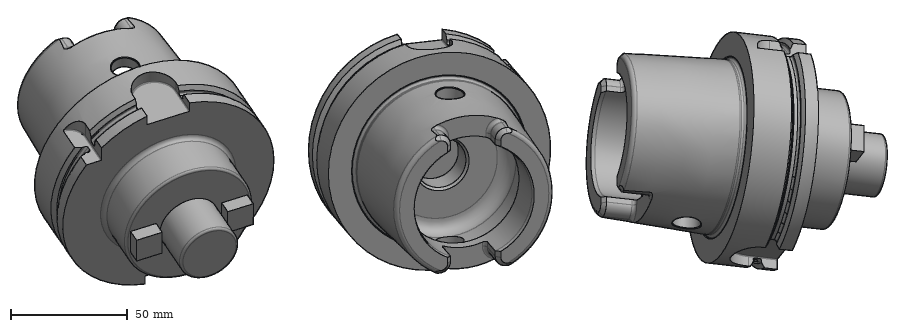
import cadquery as cq
import math

shank_length = 50.0
taper_end_x = 47.4
taper_big_radius = 37.9
taper_ratio = 0.05
shank_tip_radius = taper_big_radius - taper_ratio * taper_end_x
shank_tip_round = 2.0
neck_radius = 37.8
neck_x = 48.2
relief_round = 1.1
relief_start_x = 49.2
relief_rim_radius = 39.6
relief_rim_chamfer = 0.4

flange_radius = 50.0
flange_end_x = 78.9
groove_center_x = 69.9
groove_half_mouth = 3.1
groove_half_width = 1.8
groove_wall_radius = 47.8
groove_floor_radius = 46.0
groove_floor_round = 1.0

collar_radius = 30.0
collar_end_x = 100.0
collar_base_round = 2.0
pilot_radius = 13.7
total_length = 121.0
nose_edge_round = 1.1

bore_radius = 26.5
bore_mouth_radius = 27.0
bore_mouth_depth = 1.7
bore_land_end_x = 20.6
clamp_radius = 31.5
clamp_angle = 60.0
bore_depth = 47.0
bore_floor_round = 6.4
core_hole_radius = 11.3
core_hole_chamfer = 1.1
core_hole_depth = 12.1

drive_half_width = 10.0
drive_corner_round = 4.8
drive_shoulder_z = 31.8
drive_inner_z = 12.1
drive_top_depth = 9.9
drive_bottom_depth = 15.0
drive_floor_round = 1.7
drive_edge_chamfer = 1.9

cross_hole_x = 34.8
cross_hole_radius = 6.0
cross_hole_chamfer = 0.4

keyway_end_x = 54.8
keyway_floor_z = 44.0
top_keyway_half_width = 10.0
bottom_keyway_half_width = 11.0
notch_offset = 31.6
notch_end_x = 55.0
notch_round = 7.5
root_round = 0.4

key_length = 6.2
key_width = 12.1
key_inner_y = 15.5
key_outer_y = 27.6

AXIS_START = (0, 0, 0)
AXIS_END = (1, 0, 0)


def spin(profile):
    """Revolve a closed profile of (x, radius) points about the X axis."""
    return profile.close().revolve(360, AXIS_START, AXIS_END)


def outer_body():
    relief_floor_x = relief_start_x + relief_round
    relief_floor_radius = neck_radius + relief_round
    profile = (
        cq.Workplane("XY")
        .lineTo(0, shank_tip_radius)
        .lineTo(taper_end_x, taper_big_radius)
        .lineTo(neck_x, neck_radius)
        .lineTo(relief_start_x, neck_radius)
        .radiusArc((relief_floor_x, relief_floor_radius), -relief_round)
        .lineTo(relief_floor_x, relief_rim_radius - relief_rim_chamfer)
        .lineTo(shank_length, relief_rim_radius)
        .lineTo(shank_length, flange_radius)
        .lineTo(flange_end_x, flange_radius)
        .lineTo(flange_end_x, collar_radius + collar_base_round)
        .radiusArc((flange_end_x + collar_base_round, collar_radius), -collar_base_round)
        .lineTo(collar_end_x - nose_edge_round, collar_radius)
        .radiusArc((collar_end_x, collar_radius - nose_edge_round), nose_edge_round)
        .lineTo(collar_end_x, pilot_radius)
        .lineTo(total_length - nose_edge_round, pilot_radius)
        .radiusArc((total_length, pilot_radius - nose_edge_round), nose_edge_round)
        .lineTo(total_length, 0)
    )
    return spin(profile).faces("<X").edges().fillet(shank_tip_round)


def gripper_groove():
    floor_half_width = groove_half_width - groove_floor_round
    left = groove_center_x - groove_half_width
    right = groove_center_x + groove_half_width
    rise = groove_floor_radius + groove_floor_round
    clear_radius = flange_radius + 1.2
    profile = (
        cq.Workplane("XY")
        .moveTo(groove_center_x - groove_half_mouth, flange_radius)
        .lineTo(left, groove_wall_radius)
        .lineTo(left, rise)
        .radiusArc((groove_center_x - floor_half_width, groove_floor_radius), -groove_floor_round)
        .lineTo(groove_center_x + floor_half_width, groove_floor_radius)
        .radiusArc((right, rise), -groove_floor_round)
        .lineTo(right, groove_wall_radius)
        .lineTo(groove_center_x + groove_half_mouth, flange_radius)
        .lineTo(groove_center_x + groove_half_mouth, clear_radius)
        .lineTo(groove_center_x - groove_half_mouth, clear_radius)
    )
    return spin(profile)


def bore():
    cone_length = (clamp_radius - bore_radius) / math.tan(math.radians(clamp_angle))
    profile = (
        cq.Workplane("XY")
        .lineTo(0, bore_mouth_radius)
        .lineTo(bore_mouth_depth, bore_radius)
        .lineTo(bore_land_end_x, bore_radius)
        .lineTo(bore_land_end_x + cone_length, clamp_radius)
        .lineTo(bore_depth - bore_floor_round, clamp_radius)
        .radiusArc((bore_depth, clamp_radius - bore_floor_round), bore_floor_round)
        .lineTo(bore_depth, core_hole_radius + core_hole_chamfer)
        .lineTo(bore_depth + core_hole_chamfer, core_hole_radius)
        .lineTo(bore_depth + core_hole_depth, core_hole_radius)
        .lineTo(bore_depth + core_hole_depth, 0)
    )
    return spin(profile)


def drive_slot(depth):
    """Slot cutter opening at x = 0 and toward +Z, with rounded shoulders."""
    shoulder_y = drive_half_width + drive_corner_round
    round_z = drive_shoulder_z - drive_corner_round

    def outline(x):
        return (
            cq.Workplane("YZ", origin=(x, 0, 0))
            .moveTo(drive_half_width, drive_inner_z)
            .lineTo(drive_half_width, round_z)
            .radiusArc((shoulder_y, drive_shoulder_z), drive_corner_round)
            .lineTo(flange_radius, drive_shoulder_z)
            .lineTo(flange_radius, flange_radius)
            .lineTo(-flange_radius, flange_radius)
            .lineTo(-flange_radius, drive_shoulder_z)
            .lineTo(-shoulder_y, drive_shoulder_z)
            .radiusArc((-drive_half_width, round_z), drive_corner_round)
            .lineTo(-drive_half_width, drive_inner_z)
            .close()
        )

    slot = outline(0).extrude(depth).faces(">X").edges().fillet(drive_floor_round)
    flare = outline(drive_edge_chamfer).extrude(-drive_edge_chamfer, taper=-45)
    return slot.union(flare)


def cross_hole():
    start = cq.Workplane("XY", origin=(cross_hole_x, 0, -flange_radius))
    return start.circle(cross_hole_radius).extrude(2 * flange_radius)


def chamfer_cross_hole(body):
    """Break the two outer rims where the cross hole leaves the cone."""
    margin = 0.1
    reach = cross_hole_radius + margin
    inside_wall = clamp_radius + margin
    for low_z, high_z in ((inside_wall, flange_radius), (-flange_radius, -inside_wall)):
        rim = cq.selectors.BoxSelector(
            (cross_hole_x - reach, -reach, low_z), (cross_hole_x + reach, reach, high_z), boundingbox=True
        )
        body = body.edges(rim).chamfer(cross_hole_chamfer)
    return body


def keyway(half_width):
    """Flat-floored key slot on the +Z side with a semicircular inner end."""
    slot = (
        cq.Workplane("XY", origin=(0, 0, keyway_floor_z))
        .moveTo(flange_end_x, half_width)
        .lineTo(keyway_end_x + half_width, half_width)
        .threePointArc((keyway_end_x, 0), (keyway_end_x + half_width, -half_width))
        .lineTo(flange_end_x, -half_width)
        .close()
        .extrude(flange_radius)
    )
    return slot.faces("<Z").edges("not >X").fillet(root_round)


def orientation_notch():
    outer_y = -flange_radius
    notch = (
        cq.Workplane("XY", origin=(0, 0, notch_offset))
        .moveTo(flange_end_x, -notch_offset)
        .lineTo(notch_end_x + notch_round, -notch_offset)
        .radiusArc((notch_end_x, -notch_offset - notch_round), -notch_round)
        .lineTo(notch_end_x, outer_y)
        .lineTo(flange_end_x, outer_y)
        .close()
        .extrude(flange_radius)
    )
    return notch.faces("<Z").edges(">Y").fillet(root_round)


def drive_key():
    center = (collar_end_x + key_length / 2, (key_inner_y + key_outer_y) / 2, 0)
    return cq.Workplane("XY").box(key_length, key_outer_y - key_inner_y, key_width).translate(center)


def flip(shape):
    return shape.rotate(AXIS_START, AXIS_END, 180)


result = outer_body().cut(gripper_groove()).cut(bore())
result = result.cut(drive_slot(drive_top_depth)).cut(flip(drive_slot(drive_bottom_depth)))
result = chamfer_cross_hole(result.cut(cross_hole()))
result = result.cut(keyway(top_keyway_half_width)).cut(flip(keyway(bottom_keyway_half_width)))
result = result.cut(orientation_notch())
result = result.union(drive_key()).union(flip(drive_key()))